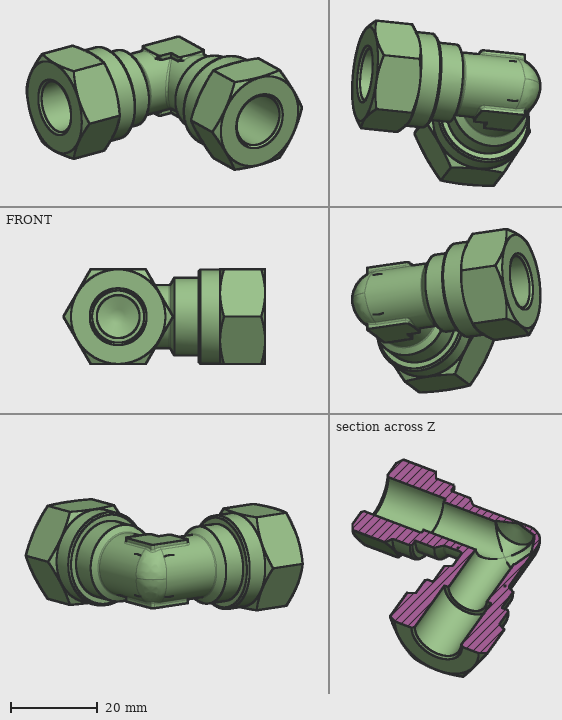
import cadquery as cq
import math

overall = 46.7
nut_flats = 22.0
nut_corner_radius = nut_flats / math.sqrt(3)
leg_length = overall - nut_corner_radius

nut_thickness = 10.45
nut_face_radius = 10.95
nut_chamfer_height = 0.95
nut_start = leg_length - nut_thickness

pipe_radius = 7.35
body_radius = 9.0
collar_radius = nut_face_radius
collar_length = 4.95
collar_chamfer = 0.45
collar_start = nut_start - collar_length
stub_start = 8.17
cone_start = 12.0
cone_fillet = 0.37
x_leg_cone_slope = 60
y_leg_cone_slope = 45

socket_radius = 6.03
socket_end = collar_start
mouth_chamfer = 0.55
passage_radius = 4.95
passage_overrun = 5.2
drill_tip_height = 1.7

corner_radius = 4.95
crotch_fillet = 0.45
pad_half_height = 7.5
pad_back = 3.6
pad_reach = 6.9
pad_fillet = 0.55
pad_stock = 9.35

tolerance = 0.005


def revolve_about_x(points):
    """Solid of revolution from (axial position, radius) points that end on the X axis."""
    return cq.Workplane("XY").polyline(points).close().revolve(360, (0, 0, 0), (1, 0, 0))


def to_y_leg(solid):
    """Turn a solid built along +X so that it lies along -Y."""
    return solid.rotate((0, 0, 0), (0, 0, 1), -90)


def nut():
    """Hexagon nut on the X leg with flats facing up and down."""
    hexagon = (
        cq.Workplane("YZ", origin=(nut_start, 0, 0))
        .polygon(6, 2 * nut_corner_radius)
        .extrude(nut_thickness)
    )
    envelope = revolve_about_x([
        (nut_start, 0),
        (nut_start, nut_face_radius),
        (nut_start + nut_chamfer_height, nut_corner_radius),
        (leg_length - nut_chamfer_height, nut_corner_radius),
        (leg_length, nut_face_radius),
        (leg_length, 0),
    ])
    return hexagon.intersect(envelope)


def leg(cone_slope):
    """Fitting body, collar and nut outside the elbow pipe."""
    cone_length = (body_radius - pipe_radius) / math.tan(math.radians(cone_slope))
    cone_end = cone_start + cone_length
    body = revolve_about_x([
        (stub_start, 0),
        (stub_start, pipe_radius),
        (cone_start, pipe_radius),
        (cone_end, body_radius),
        (collar_start, body_radius),
        (collar_start, collar_radius - collar_chamfer),
        (collar_start + collar_chamfer, collar_radius),
        (nut_start, collar_radius),
        (nut_start, 0),
    ])
    cone_root = cq.selectors.BoxSelector(
        (cone_start - tolerance, -body_radius, -body_radius),
        (cone_start + tolerance, body_radius, body_radius),
        boundingbox=True,
    )
    return body.edges(cone_root).fillet(cone_fillet).union(nut())


def mitred_pipes():
    """The two pipes of the elbow, cut to each other on the plane x = -y."""
    size = cone_start
    pipe = cq.Workplane("YZ", origin=(-size, 0, 0)).circle(pipe_radius).extrude(2 * size)

    def trimmed(solid, side):
        half = cq.Workplane("XY").polyline([(-size, size), (side * size, side * size), (size, -size)])
        return solid.intersect(half.close().extrude(2 * pipe_radius, both=True))

    return trimmed(pipe, 1).union(trimmed(to_y_leg(pipe), -1))


def pad_block():
    """L-shaped block through the elbow; its ends stand out above and below as pads."""
    outline = [
        (-pad_back, pad_back),
        (pad_reach, pad_back),
        (pad_reach, -pad_back),
        (pad_back, -pad_back),
        (pad_back, -pad_reach),
        (-pad_back, -pad_reach),
    ]
    return cq.Workplane("XY").polyline(outline).close().extrude(pad_stock, both=True)


def is_on_outer_pad_wall(edge):
    """Upright corners and feet of the four long pad walls; the notch walls stay sharp."""
    box = edge.BoundingBox()
    middle = edge.positionAt(0.5)
    is_top_edge = abs(middle.z) > pad_stock - tolerance
    x_walls = (-pad_back, pad_reach)
    y_walls = (pad_back, -pad_reach)
    is_on_x_wall = any(max(abs(box.xmin - x), abs(box.xmax - x)) < tolerance for x in x_walls)
    is_on_y_wall = any(max(abs(box.ymin - y), abs(box.ymax - y)) < tolerance for y in y_walls)
    is_between_walls = (
        box.xmin > -pad_back - tolerance
        and box.xmax < pad_reach + tolerance
        and box.ymin > -pad_reach - tolerance
        and box.ymax < pad_back + tolerance
    )
    return is_between_walls and (is_on_x_wall or is_on_y_wall) and not is_top_edge


def mitre_edges(solid, side):
    """Curved edges on the mitre plane, outside the bend (side -1) or inside it (side 1)."""

    def is_mitre(edge):
        middle = edge.positionAt(0.5)
        is_on_plane = abs(middle.x + middle.y) < tolerance
        is_outside_pad = side * middle.x > pad_back
        return is_on_plane and is_outside_pad and edge.geomType() != "LINE"

    return solid.edges().filter(is_mitre)


def elbow():
    """Mitred pipes with a rounded corner and crotch, and flat pads above and below."""
    solid = mitred_pipes().union(pad_block())
    solid = mitre_edges(solid, -1).fillet(corner_radius)
    solid = solid.edges().filter(is_on_outer_pad_wall).fillet(pad_fillet)
    solid = mitre_edges(solid, 1).fillet(crotch_fillet)
    slab = cq.Workplane("XY").box(2 * overall, 2 * overall, 2 * pad_half_height)
    return solid.intersect(slab)


def bore():
    """Stepped blind hole of the X leg, crossing the other leg's axis."""
    return revolve_about_x([
        (leg_length, 0),
        (leg_length, socket_radius + mouth_chamfer),
        (leg_length - mouth_chamfer, socket_radius),
        (socket_end, socket_radius),
        (socket_end, passage_radius),
        (-passage_overrun, passage_radius),
        (-passage_overrun - drill_tip_height, 0),
    ])


result = (
    elbow()
    .union(leg(x_leg_cone_slope))
    .union(to_y_leg(leg(y_leg_cone_slope)))
    .cut(bore())
    .cut(to_y_leg(bore()))
)